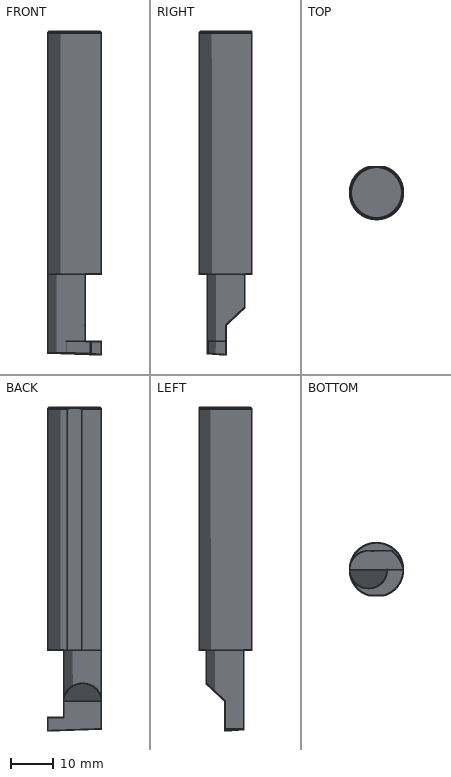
import cadquery as cq
import math

overall_length = 76.2
neck_length = 19.05

shank_diameter = 12.7
shank_radius = shank_diameter / 2
shank_flat_depth = 0.25
shank_chamfer = 0.4

neck_diameter = 8.89
neck_radius = neck_diameter / 2
neck_center_x = neck_radius - shank_radius

slope_bottom_z = 7.0
slope_rise = 4.2

lug_height = 3.175
lug_front_length = 5.65
lug_step_length = 0.15
lug_step_depth = 0.3
lug_arc_bulge = 0.42

bottom_angle_x = 2.0
bottom_angle_y = 3.0


def make_shank():
    shank = (
        cq.Workplane("XY")
        .workplane(offset=neck_length)
        .circle(shank_radius)
        .extrude(overall_length - neck_length)
        .faces(">Z")
        .chamfer(shank_chamfer)
    )
    flat_cutter = (
        cq.Workplane("XY")
        .box(shank_diameter, shank_diameter, overall_length, centered=(True, False, False))
        .translate((0, shank_radius - shank_flat_depth, 0))
    )
    return shank.cut(flat_cutter)


def make_neck():
    neck = (
        cq.Workplane("XY")
        .center(neck_center_x, 0)
        .circle(neck_radius)
        .extrude(neck_length)
    )
    rake_cutter = (
        cq.Workplane("YZ")
        .polyline([
            (0, 0),
            (0, slope_bottom_z),
            (neck_radius, slope_bottom_z + slope_rise),
            (neck_radius, 0),
        ])
        .close()
        .extrude(shank_radius, both=True)
    )
    return neck.cut(rake_cutter)


def make_lug():
    """Cutting lug with a front face tangent to the neck and a curved relief below the tip."""
    tip = (shank_radius, 0)
    corner = (neck_center_x + lug_front_length, -neck_radius)
    arc_end = (corner[0] + lug_step_length, corner[1] + lug_step_depth)
    chord_x = tip[0] - arc_end[0]
    chord_y = tip[1] - arc_end[1]
    chord = math.hypot(chord_x, chord_y)
    arc_middle = (
        (tip[0] + arc_end[0]) / 2 + lug_arc_bulge * chord_y / chord,
        (tip[1] + arc_end[1]) / 2 - lug_arc_bulge * chord_x / chord,
    )
    return (
        cq.Workplane("XY")
        .moveTo(neck_center_x, 0)
        .lineTo(neck_center_x, -neck_radius)
        .lineTo(*corner)
        .lineTo(*arc_end)
        .threePointArc(arc_middle, tip)
        .close()
        .extrude(lug_height)
    )


def make_bottom_cutter():
    """Block whose tilted top face passes through the cutting tip."""
    width = 4 * shank_diameter
    tilted_normal = (
        math.tan(math.radians(bottom_angle_x)),
        math.tan(math.radians(bottom_angle_y)),
        1,
    )
    tilted_plane = cq.Plane(origin=(shank_radius, 0, 0), xDir=(0, 1, 0), normal=tilted_normal)
    return cq.Workplane(tilted_plane).rect(width, width).extrude(-shank_diameter)


result = make_shank().union(make_neck()).union(make_lug()).cut(make_bottom_cutter())